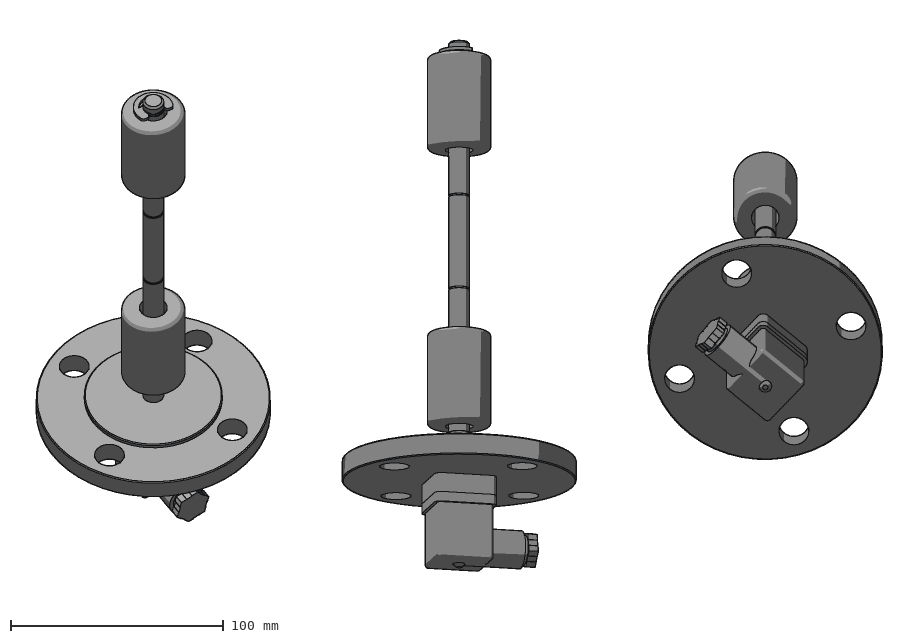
import cadquery as cq
import math

total_height = 253.7

flange_dia = 110.0
flange_thickness = 10.1
raised_face_dia = 65.0
raised_face_height = 2.0
bolt_hole_dia = 14.0
bolt_circle_dia = 85.0
bolt_count = 4
first_bolt_angle = 30
flange_edge_chamfer = 0.5
flange_bottom = -flange_thickness

rod_dia = 10.0
rod_end_chamfer = 1.0
clip_groove_dia = 9.0
clip_groove_width = 1.5
clip_groove_to_rod_top = 5.8
mark_groove_dia = 9.5
mark_groove_width = 0.8
lower_clip_groove_z = 11.7
mark_groove_levels = (82.2, 127.0)

float_dia = 30.0
float_length = 45.2
float_bore_dia = 13.0
float_fillet = 2.0
float_levels = (16.2, 149.7)

clip_outer_dia = 18.8
clip_thickness = clip_groove_width
clip_relief_dia = 13.7
clip_mouth_width = 9.0
clip_end_x = 4.5
clip_end_fillet = 1.5
clip_relief_x = -3.0
clip_lug_width = 2.3

base_side = 30.0
base_height = 9.1
base_corner_radius = 3.3
base_bottom = flange_bottom - base_height

collar_height = 4.5
plug_side = 27.0
plug_height = 26.5
plug_corner_radius = 1.8
plug_edge_fillet = 1.5
collar_bottom = base_bottom - collar_height
plug_bottom = collar_bottom - plug_height

screw_head_dia = 6.0
screw_tip_dia = 2.5
screw_head_height = 1.5

gland_dia = 18.0
gland_end_x = 30.0
gland_z = -41.5
gland_neck_dia = 14.0
nut_start_x = 31.7
nut_end_x = 36.3
nut_rotation = 15
nut_sides = 6
nut_groove_depth = 0.3

rod_top = total_height + plug_bottom - screw_head_height
upper_clip_groove_z = rod_top - clip_groove_to_rod_top


def cylinder(diameter, bottom, top):
    return cq.Workplane("XY").workplane(offset=bottom).circle(diameter / 2).extrude(top - bottom)


def cylinder_along_x(diameter, start, end):
    plane = cq.Workplane("YZ", origin=(start, 0, gland_z))
    return plane.circle(diameter / 2).extrude(end - start)


def rounded_block(side, corner_radius, bottom, top):
    block = cq.Workplane("XY").workplane(offset=bottom).rect(side, side).extrude(top - bottom)
    return block.edges("|Z").fillet(corner_radius)


def ring_groove(diameter, bottom, width):
    """Material to remove from the rod to leave a groove of the given bottom diameter."""
    outer = cylinder(2 * rod_dia, bottom, bottom + width)
    return outer.cut(cylinder(diameter, bottom, bottom + width))


def make_flange():
    flange = cylinder(flange_dia, flange_bottom, 0).edges().chamfer(flange_edge_chamfer)
    raised_face = cylinder(raised_face_dia, 0, raised_face_height)
    raised_face = raised_face.faces(">Z").chamfer(flange_edge_chamfer)
    bolt_holes = (
        cq.Workplane("XY").workplane(offset=flange_bottom)
        .polarArray(bolt_circle_dia / 2, first_bolt_angle, 360, bolt_count)
        .circle(bolt_hole_dia / 2).extrude(flange_thickness)
    )
    rod_hole = cylinder(rod_dia, flange_bottom, raised_face_height)
    return flange.union(raised_face).cut(bolt_holes).cut(rod_hole)


def make_rod():
    rod = cylinder(rod_dia, flange_bottom, rod_top).faces(">Z").chamfer(rod_end_chamfer)
    for level in (lower_clip_groove_z, upper_clip_groove_z):
        rod = rod.cut(ring_groove(clip_groove_dia, level, clip_groove_width))
    for level in mark_groove_levels:
        rod = rod.cut(ring_groove(mark_groove_dia, level, mark_groove_width))
    return rod


def make_float(bottom):
    body = cylinder(float_dia, bottom, bottom + float_length).edges().fillet(float_fillet)
    return body.cut(cylinder(float_bore_dia, bottom, bottom + float_length))


def make_clip():
    """E-shaped clip with its mouth toward +X; a lug and the two arms reach the groove bottom."""

    def slab(x_start, x_end, width):
        plane = cq.Workplane("XY", origin=((x_start + x_end) / 2, 0, upper_clip_groove_z))
        return plane.rect(x_end - x_start, width).extrude(clip_thickness)

    def disc(diameter):
        return cylinder(diameter, upper_clip_groove_z, upper_clip_groove_z + clip_thickness)

    outer_radius = clip_outer_dia / 2
    arms = disc(clip_outer_dia).intersect(slab(-outer_radius, clip_end_x, clip_outer_dia))
    arms = arms.cut(slab(0, outer_radius, clip_mouth_width))
    arms = arms.edges("|Z and >X").fillet(clip_end_fillet)
    relief = disc(clip_relief_dia).intersect(slab(-outer_radius, clip_relief_x, clip_outer_dia))
    relief = relief.cut(slab(-outer_radius, 0, clip_lug_width))
    return arms.cut(relief).cut(disc(clip_groove_dia))


def make_base():
    return rounded_block(base_side, base_corner_radius, base_bottom, flange_bottom)


def make_screw_head():
    return (
        cq.Workplane("XY").workplane(offset=plug_bottom).circle(screw_head_dia / 2)
        .workplane(offset=-screw_head_height).circle(screw_tip_dia / 2).loft()
    )


def make_gland_nut():
    """Hexagonal nut whose flats each carry a shallow groove over the middle third."""
    length = nut_end_x - nut_start_x
    start_face = cq.Workplane("YZ", origin=(nut_start_x, 0, gland_z))
    axis_start = (nut_start_x, 0, gland_z)
    axis_end = (nut_end_x, 0, gland_z)
    nut = start_face.polygon(nut_sides, gland_dia).extrude(length)
    flat_distance = gland_dia / 2 * math.cos(math.pi / nut_sides)
    groove_width = gland_dia * math.sin(math.pi / nut_sides) / 3
    for side in range(nut_sides):
        groove = (
            start_face.center(flat_distance, 0)
            .rect(2 * nut_groove_depth, groove_width).extrude(length)
            .rotate(axis_start, axis_end, (side + 0.5) * 360 / nut_sides)
        )
        nut = nut.cut(groove)
    return nut.rotate(axis_start, axis_end, nut_rotation)


def make_plug():
    collar = rounded_block(base_side, base_corner_radius, collar_bottom, base_bottom)
    plug = rounded_block(plug_side, plug_corner_radius, plug_bottom, collar_bottom)
    plug = plug.faces("<Z").edges().fillet(plug_edge_fillet)
    return (
        plug.union(collar)
        .union(make_screw_head())
        .union(cylinder_along_x(gland_dia, 0, gland_end_x))
        .union(cylinder_along_x(gland_neck_dia, gland_end_x, nut_start_x))
        .union(make_gland_nut())
    )


flange = make_flange()
rod = make_rod()
floats = [make_float(level) for level in float_levels]
clip = make_clip()
base = make_base()
plug = make_plug()

result = cq.Compound.makeCompound(
    [flange.val(), rod.val(), *[body.val() for body in floats], clip.val(), base.val(), plug.val()]
)